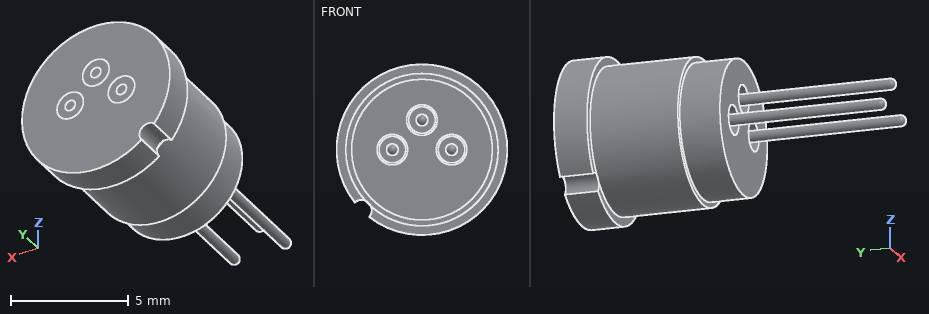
import cadquery as cq
import math

total_length = 14.2
flange_diameter = 7.3
body_diameter = 6.5
nose_diameter = 6.0
flange_thickness = 1.5
body_length = 3.98
nose_length = 1.82

notch_diameter = 0.87
notch_angle = 225

pin_diameter = 0.5
pin_circle_radius = 1.26
pin_angles = (0, 90, 180)
sleeve_diameter = 1.3
sleeve_nose_diameter = 1.14
sleeve_taper_length = 0.28
recess_depth = 0.62

housing_length = flange_thickness + body_length + nose_length
back_y = total_length / 2
nose_y = back_y - housing_length
body_front_y = nose_y + nose_length
flange_front_y = back_y - flange_thickness
tip_y = back_y - total_length
sleeve_front_y = nose_y + recess_depth


def cylinder(diameter, start_y, end_y, x=0, z=0):
    """Solid cylinder along Y between two Y positions."""
    return cq.Workplane(
        cq.Solid.makeCylinder(
            diameter / 2, end_y - start_y, cq.Vector(x, start_y, z), cq.Vector(0, 1, 0)
        )
    )


def polar_point(radius, angle):
    """X and Z of a point at the given angle around the Y axis."""
    turn = math.radians(angle)
    return radius * math.cos(turn), radius * math.sin(turn)


pin_places = [polar_point(pin_circle_radius, angle) for angle in pin_angles]


def make_housing():
    """Stepped housing with a keying notch and a through socket for each sleeve."""
    flange = cylinder(flange_diameter, flange_front_y, back_y)
    notch_x, notch_z = polar_point(flange_diameter / 2, notch_angle)
    flange = flange.cut(cylinder(notch_diameter, flange_front_y, back_y, notch_x, notch_z))
    body = cylinder(body_diameter, body_front_y, flange_front_y)
    nose = cylinder(nose_diameter, nose_y, body_front_y)
    housing = flange.union(body).union(nose)
    for x, z in pin_places:
        housing = housing.cut(cylinder(sleeve_diameter, nose_y, back_y, x, z))
    return housing


def make_sleeve(x, z):
    """Sleeve around one pin, set back from the nose face and tapered at its front end."""
    taper_width = (sleeve_diameter - sleeve_nose_diameter) / 2
    sleeve = cylinder(sleeve_diameter, sleeve_front_y, back_y, x, z)
    sleeve = sleeve.faces("<Y").edges().chamfer(sleeve_taper_length, taper_width)
    return sleeve.cut(cylinder(pin_diameter, sleeve_front_y, back_y, x, z))


def make_pin(x, z):
    """Straight pin with a hemispherical tip, flush with the back of the housing."""
    pin_radius = pin_diameter / 2
    tip_center_y = tip_y + pin_radius
    shank = cylinder(pin_diameter, tip_center_y, back_y, x, z)
    tip = cq.Workplane().sphere(pin_radius).translate((x, tip_center_y, z))
    return shank.union(tip)


housing = make_housing()
sleeves = [make_sleeve(x, z) for x, z in pin_places]
pins = [make_pin(x, z) for x, z in pin_places]

result = cq.Compound.makeCompound(
    [housing.val(), *[sleeve.val() for sleeve in sleeves], *[pin.val() for pin in pins]]
)